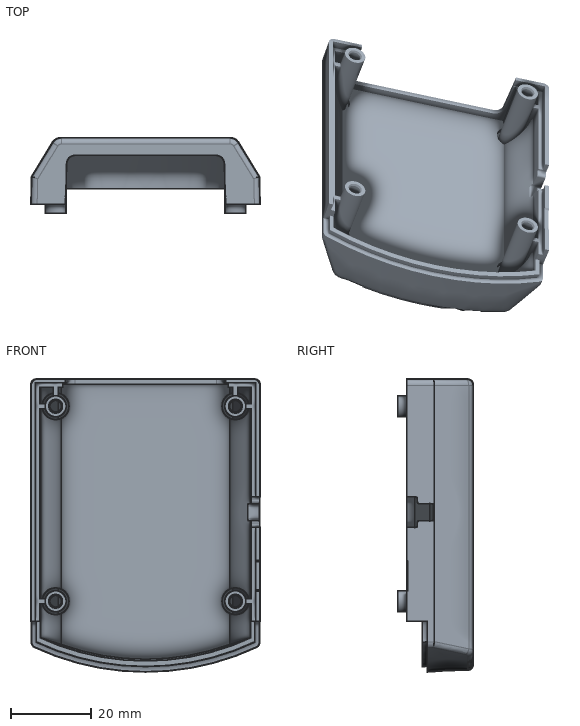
import cadquery as cq
import math


length = 72.88
rim_half_width = 28.52
body_depth = 16.6
shoulder_depth = 6.9
shoulder_half_width = 28.35
back_half_width = 22.4
back_edge_radius = 2.5
end_edge_radius = 1.5

wall = 2.6
rear_wall = 2.1
cavity_rim_half_width = 26.5
cavity_shoulder_half_width = 26.0
lip_half_width = 27.4
rear_lip = 1.0
ledge_depth = 2.0

end_radius = 65.0
end_draft = 0.5
curved_wall = 2.8
end_margin = 1.0

step_height = 12.6
tongue_depth = 3.9
tongue_root_depth = 5.15
tongue_half_width = 27.15
tongue_setback = 1.4

post_half_spacing = 22.35
post_heights = (17.6, 66.1)
post_diameter = 5.25
post_overhang = 2.2
moat_diameter = 6.65
bore_diameter = 2.9
bore_mouth_diameter = 3.4
bore_mouth_depth = 0.5
thin_wall = 1.25
rib_thickness = 1.25

window_half_width = 19.95
window_end_half_width = 19.5
window_depth = 12.2
window_radius = 2.0
recess_half_width = 20.6
recessed_wall = 1.26

notch_height = 39.75
notch_mouth_half_height = 3.79
notch_floor_half_height = 2.13
notch_step_depth = 2.7
notch_depth = 6.7
notch_radius = 0.47

relief_bottom = 20.1
relief_top = 27.8
relief_depth = 0.35

clearance = 0.5

post_places = [(x, z) for x in (-post_half_spacing, post_half_spacing) for z in post_heights]
side_run = (shoulder_half_width - back_half_width) / (body_depth - shoulder_depth)


def span(half_width):
    """Limits of a range centred on zero."""
    return (-half_width, half_width)


def box(x_range, y_range, z_range):
    """Axis-aligned block between the given limits."""
    limits = (x_range, y_range, z_range)
    sizes = [high - low for low, high in limits]
    corner = tuple(low for low, high in limits)
    return cq.Workplane("XY").box(*sizes, centered=False).translate(corner)


def prism(inset, rim, shoulder, top, front=0.0):
    """Extruded case section: its back and sloping sides lie inset from the outer skin.

    rim and shoulder are half widths; front is the Y of the open side and top the upper Z.
    """
    back_turn = math.pi / 2 - math.atan(side_run)
    back_x = back_half_width - inset * math.tan(back_turn / 2)
    back_y = body_depth - inset
    shoulder_y = back_y - (shoulder - back_x) / side_run
    right = [(rim, front), (shoulder, shoulder_y), (back_x, back_y)]
    left = [(-x, y) for x, y in reversed(right)]
    section = cq.Workplane("XY", origin=(0, 0, -end_margin)).polyline(right + left).close()
    return section.extrude(top + end_margin)


def inner_prism(inset):
    """Space inside a skin of the given thickness, reaching out to the post tips."""
    return prism(inset, rim_half_width - inset, shoulder_half_width - inset, length, -post_overhang)


def end_cone(inset):
    """Round body whose lowest part is the curved lower end of the case."""
    slope = end_draft / (body_depth - tongue_root_depth)
    front_radius = end_radius - inset + slope * tongue_root_depth
    back_radius = end_radius - inset - end_draft
    half_outline = [(0, 0), (front_radius, 0), (back_radius, body_depth), (0, body_depth)]
    cone = cq.Workplane("XY").polyline(half_outline).close().revolve(360, (0, 0, 0), (0, 1, 0))
    return cone.translate((0, 0, end_radius))


def outer_body():
    """Solid case with rounded back, rear and lower edges."""
    body = prism(0, rim_half_width, shoulder_half_width, length)
    body = body.edges("|Z and >Y").fillet(back_edge_radius)
    body = body.intersect(end_cone(0))
    rear_edges = body.faces(">Z").edges("not <Y").vals()
    end_edges = body.faces("%CONE").faces("<Z").edges("not <Y").vals()
    return body.newObject(rear_edges + end_edges).fillet(end_edge_radius)


def cavity():
    """Main hollow of the case."""
    top = length - rear_wall
    hollow = prism(wall, cavity_rim_half_width, cavity_shoulder_half_width, top)
    return hollow.intersect(end_cone(curved_wall))


def lip_rebate():
    """Step that leaves a thin lip around the long rim."""
    return box(span(lip_half_width), (-clearance, ledge_depth), (step_height, length - rear_lip))


def lower_rim_cut():
    """Material removed to drop the lower rim and leave a tongue inside it."""
    below_step = (-end_margin, step_height)
    stock = box(span(length), (-clearance, tongue_root_depth), below_step)
    tongue = box(span(tongue_half_width), (tongue_depth, tongue_root_depth), below_step)
    return stock.cut(tongue.intersect(end_cone(tongue_setback)))


def post_cylinders(diameter):
    """Cylinders on the post axes, running from the post tips through the back wall."""
    tips = cq.Workplane("XZ", origin=(0, -post_overhang, 0)).pushPoints(post_places)
    return tips.circle(diameter / 2).extrude(-body_depth - post_overhang)


def post_moats():
    """Round pockets that thin the wall around the foot of each post."""
    return post_cylinders(moat_diameter).intersect(inner_prism(thin_wall)).intersect(
        box(span(rim_half_width), (tongue_root_depth, body_depth), (0, length)))


def posts():
    """Solid posts, rooted part way into the thinned wall."""
    return post_cylinders(post_diameter).intersect(inner_prism(thin_wall / 2))


def post_bores():
    """Blind bores with a countersunk mouth."""
    bores = post_cylinders(bore_diameter).intersect(inner_prism(thin_wall))
    taper = math.degrees(math.atan2((bore_mouth_diameter - bore_diameter) / 2, bore_mouth_depth))
    tips = cq.Workplane("XZ", origin=(0, -post_overhang, 0)).pushPoints(post_places)
    mouths = tips.circle(bore_mouth_diameter / 2).extrude(-bore_mouth_depth, taper=taper)
    return bores.union(mouths)


def post_ribs():
    """Webs tying every post to its side wall and the upper posts to the rear wall."""
    half_rib = rib_thickness / 2
    web_depth = (ledge_depth, body_depth)
    bore_edge = bore_mouth_diameter / 2
    ribs = cq.Workplane("XY")
    for x, z in post_places:
        reach = sorted((math.copysign(abs(x) + bore_edge, x), math.copysign(lip_half_width, x)))
        ribs = ribs.union(box(reach, web_depth, (z - half_rib, z + half_rib)))
        if z == max(post_heights):
            rear_reach = (z + bore_edge, length - rear_lip)
            ribs = ribs.union(box((x - half_rib, x + half_rib), web_depth, rear_reach))
    return ribs.intersect(inner_prism(thin_wall))


def rear_opening():
    """Round-cornered window in the rear wall, with the wall thinned behind it."""
    recess = box(span(recess_half_width), (-clearance, body_depth - wall),
                 (length - rear_wall - clearance, length - recessed_wall))
    right = [(window_half_width, 0), (window_end_half_width, window_depth)]
    left = [(-x, y) for x, y in reversed(right)]
    window = cq.Workplane("XY", origin=(0, 0, length - rear_wall - clearance))
    window = window.polyline(right + left).close().extrude(rear_wall + 2 * clearance)
    return recess.union(window.edges("|Z and >Y").fillet(window_radius))


def socket_notch():
    """Stepped notch through the +X wall."""
    x_range = (post_half_spacing, rim_half_width + clearance)
    mouth_heights = (notch_height - notch_mouth_half_height, notch_height + notch_mouth_half_height)
    floor_heights = (notch_height - notch_floor_half_height, notch_height + notch_floor_half_height)
    mouth = box(x_range, (-clearance, notch_step_depth), mouth_heights)
    notch = mouth.union(box(x_range, (-clearance, notch_depth), floor_heights))
    return notch.edges("|X").edges("not <Y").fillet(notch_radius)


def lip_relief():
    """Shallow relief with sloping ends in the +X lip."""
    outline = [
        (0, relief_bottom),
        (relief_depth, relief_bottom + relief_depth),
        (relief_depth, relief_top - relief_depth),
        (0, relief_top),
    ]
    profile = cq.Workplane("YZ", origin=(lip_half_width, 0, 0)).polyline(outline).close()
    return profile.extrude(rim_half_width - lip_half_width + clearance)


shell = outer_body()
cutters = (
    cavity(),
    lip_rebate(),
    lower_rim_cut(),
    rear_opening(),
    socket_notch(),
    lip_relief(),
    post_moats(),
)
for cutter in cutters:
    shell = shell.cut(cutter)
result = shell.union(post_ribs()).union(posts()).cut(post_bores())